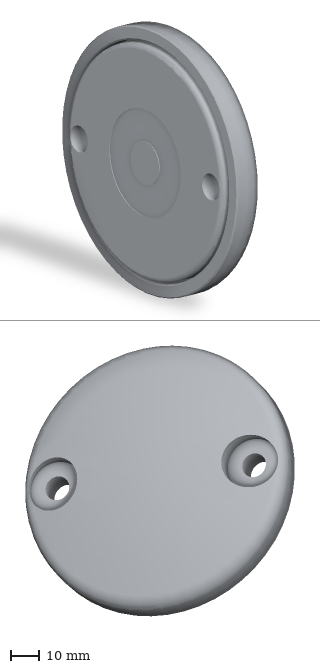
import cadquery as cq
import math

cover_radius = 49.5
dome_height = 18.0
rim_height = 7.0
shoulder_radius = 4.95
rim_chamfer = 0.5

recess_radius = 44.4
recess_depth = 7.4
recess_chamfer = 0.6

plate_radius = 43.6
plate_protrusion = 2.0
plate_edge_radius = 1.9
groove_outer_radius = 20.0
groove_inner_radius = 8.0
groove_depth = 0.3

screw_offset = 37.0
cover_hole_radius = 4.5
plate_hole_mouth_radius = 4.95
screw_head_radius = 9.9
seat_thickness = 1.5
screw_seat_height = recess_depth + seat_thickness


def cylinder_y(radius, y_start, y_end, x=0.0):
    """Solid cylinder parallel to Y, from y_start to y_end."""
    return cq.Workplane(cq.Solid.makeCylinder(
        radius, y_end - y_start, cq.Vector(x, y_start, 0), cq.Vector(0, 1, 0)))


def make_cover_blank():
    """Revolved dome whose shoulder arc is tangent to both the rim and the crown."""
    shoulder_x = cover_radius - shoulder_radius
    crown_rise = dome_height - rim_height
    crown_radius = (shoulder_x**2 + crown_rise**2 - shoulder_radius**2) / (2 * (crown_rise - shoulder_radius))
    crown_center_y = dome_height - crown_radius
    tangent_angle = math.asin(shoulder_x / (crown_radius - shoulder_radius))

    def on_crown(angle):
        return (crown_radius * math.sin(angle), crown_center_y + crown_radius * math.cos(angle))

    shoulder_angle = (tangent_angle + math.pi / 2) / 2
    shoulder_middle = (
        shoulder_x + shoulder_radius * math.sin(shoulder_angle),
        rim_height + shoulder_radius * math.cos(shoulder_angle),
    )
    profile = (
        cq.Workplane("XY")
        .lineTo(cover_radius - rim_chamfer, 0)
        .lineTo(cover_radius, rim_chamfer)
        .lineTo(cover_radius, rim_height)
        .threePointArc(shoulder_middle, on_crown(tangent_angle))
        .threePointArc(on_crown(tangent_angle / 2), (0, dome_height))
        .close()
    )
    return profile.revolve(360, (0, 0, 0), (0, 1, 0))


def make_recess():
    """Cutter for the plate recess, flared at its mouth."""
    return (
        cq.Workplane("XY")
        .lineTo(recess_radius + recess_chamfer, 0)
        .lineTo(recess_radius, recess_chamfer)
        .lineTo(recess_radius, recess_depth)
        .lineTo(0, recess_depth)
        .close()
        .revolve(360, (0, 0, 0), (0, 1, 0))
    )


def make_cover():
    body = make_cover_blank().cut(make_recess())
    for x in (-screw_offset, screw_offset):
        body = body.cut(cylinder_y(cover_hole_radius, 0, dome_height, x))
        body = body.cut(cylinder_y(screw_head_radius, screw_seat_height, dome_height, x))
    return body


def make_tapered_hole(x):
    """Cutter that narrows from the plate face to the hole in the cover."""
    return cq.Workplane(cq.Solid.makeCone(
        plate_hole_mouth_radius, cover_hole_radius, plate_protrusion + recess_depth,
        cq.Vector(x, -plate_protrusion, 0), cq.Vector(0, 1, 0)))


def make_base_plate():
    body = cylinder_y(plate_radius, -plate_protrusion, recess_depth)
    body = body.faces("<Y").edges().fillet(plate_edge_radius)

    groove_floor = groove_depth - plate_protrusion
    groove = cylinder_y(groove_outer_radius, -plate_protrusion, groove_floor)
    groove = groove.cut(cylinder_y(groove_inner_radius, -plate_protrusion, groove_floor))
    body = body.cut(groove)

    for x in (-screw_offset, screw_offset):
        body = body.cut(make_tapered_hole(x))
    return body


cover = make_cover()
base_plate = make_base_plate()
result = cq.Compound.makeCompound([cover.val(), base_plate.val()])